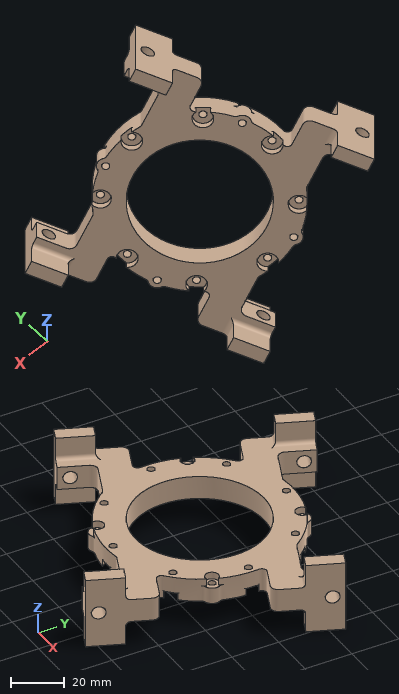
import cadquery as cq
import math

overall_length = 129.7
overall_height = 30.0
tilt = -22.5

plate_thickness = 10.0
ring_radius = 40.1
bore_radius = 27.4

lug_end_y = 48.8
lug_length = 15.0
lug_width = 10.6
arm_width = 13.0
wall_thickness = 6.0
wall_fillet = 2.0
corner_radius = 3.0
ring_blend = 2.0

cross_hole_diameter = 5.5
cross_hole_from_end = 4.9

ring_hole_count = 8
ring_hole_circle = 37.0
ring_hole_diameter = 3.0
ring_bore_diameter = 8.0
counterbore_depth = 3.0

boss_count = 4
boss_circle = 38.4
boss_radius = 3.5
boss_bore_diameter = 5.5
boss_hole_diameter = 3.0

tilt_angle = math.radians(abs(tilt))
lug_outer_x = (overall_length / 2 - lug_end_y * math.sin(tilt_angle)) / math.cos(tilt_angle)
lug_inner_x = lug_outer_x - lug_width
arm_outer_y = lug_end_y - lug_length
arm_inner_y = arm_outer_y - arm_width
plate_top = plate_thickness / 2
boss_top = plate_top - counterbore_depth


def plate(shape):
    """Extrude a mid-plane outline to the plate thickness, centred on that plane."""
    return shape.extrude(plate_thickness).translate((0, 0, -plate_top))


def box_between(x_min, x_max, y_min, y_max, height):
    """Box centred on the mid plane between two X and two Y places."""
    box = cq.Workplane("XY").box(x_max - x_min, y_max - y_min, height)
    return box.translate(((x_min + x_max) / 2, (y_min + y_max) / 2, 0))


def spaced_around(count, radius):
    """Points spaced evenly round the Z axis, starting on +X."""
    angles = [2 * math.pi * i / count for i in range(count)]
    return [(radius * math.cos(a), radius * math.sin(a)) for a in angles]


def upright_edges_at(x, y):
    """Selector for the vertical edge standing within a small gap of (x, y)."""
    gap = 0.3
    low_corner = (x - gap, y - gap, -plate_thickness)
    high_corner = (x + gap, y + gap, plate_thickness)
    return cq.selectors.BoxSelector(low_corner, high_corner)


def four_corners(x, y):
    """The point (x, y) and its mirror images across both axes."""
    return [(sx * x, sy * y) for sx in (-1, 1) for sy in (-1, 1)]


def make_ring():
    """Solid disc with rounded bosses blended into its edge, level with their counterbore floors."""
    bosses = cq.Workplane("XY").workplane(offset=-plate_top)
    bosses = bosses.pushPoints(spaced_around(boss_count, boss_circle)).circle(boss_radius)
    bosses = bosses.extrude(plate_top + boss_top)
    ring = plate(cq.Workplane("XY").circle(ring_radius)).union(bosses)

    joint_cosine = (ring_radius**2 + boss_circle**2 - boss_radius**2) / (2 * ring_radius * boss_circle)
    joint_angle = math.acos(joint_cosine)
    for i in range(boss_count):
        for side in (-1, 1):
            angle = 2 * math.pi * i / boss_count + side * joint_angle
            joint = upright_edges_at(ring_radius * math.cos(angle), ring_radius * math.sin(angle))
            ring = ring.edges(joint).fillet(ring_blend)
    return ring


def make_plate():
    """Ring joined to two crossbars with a lug at each end."""
    body = make_ring()
    for side in (-1, 1):
        bar_y = side * (arm_inner_y + arm_width / 2)
        bar = plate(cq.Workplane("XY").center(0, bar_y).rect(2 * lug_outer_x, arm_width))
        body = body.union(bar)
    for x, y in four_corners(lug_outer_x - lug_width / 2, lug_end_y - lug_length / 2):
        body = body.union(plate(cq.Workplane("XY").center(x, y).rect(lug_width, lug_length)))

    outer_joint_x = math.sqrt(ring_radius**2 - arm_outer_y**2)
    inner_joint_x = math.sqrt(ring_radius**2 - arm_inner_y**2)
    blends = [
        (lug_outer_x, arm_inner_y, corner_radius),
        (lug_inner_x, arm_outer_y, corner_radius),
        (outer_joint_x, arm_outer_y, ring_blend),
        (inner_joint_x, arm_inner_y, ring_blend),
    ]
    for joint_x, joint_y, radius in blends:
        for x, y in four_corners(joint_x, joint_y):
            body = body.edges(upright_edges_at(x, y)).fillet(radius)
    return body


def make_wall():
    """Upright wall of the +X +Y lug, flared where it meets the plate faces."""
    inner_x = lug_outer_x - wall_thickness
    wall = box_between(inner_x, lug_outer_x, arm_outer_y, lug_end_y, overall_height)
    foot_height = plate_thickness + 2 * wall_fillet
    foot = box_between(inner_x - wall_fillet, lug_outer_x, arm_outer_y - wall_fillet, lug_end_y, foot_height)
    for side in (-1, 1):
        z = side * foot_height / 2
        along_y = cq.Workplane("XZ").center(inner_x - wall_fillet, z).circle(wall_fillet)
        along_y = along_y.extrude(-overall_length)
        along_x = cq.Workplane("YZ").center(arm_outer_y - wall_fillet, z).circle(wall_fillet)
        along_x = along_x.extrude(overall_length)
        foot = foot.cut(along_y).cut(along_x)
    return wall.union(foot)


def cross_hole_cutter():
    """Cylinders along X, one through each lug."""
    cutter = cq.Workplane("XY")
    for x, y in four_corners(lug_outer_x - lug_width / 2, lug_end_y - cross_hole_from_end):
        hole = cq.Workplane("YZ").circle(cross_hole_diameter / 2).extrude(lug_width)
        cutter = cutter.add(hole.translate((x - lug_width / 2, y, 0)))
    return cutter.combine()


def ring_cutter():
    """Central bore, the ring holes and the boss holes, with their counterbores."""
    cutter = plate(cq.Workplane("XY").circle(bore_radius))

    ring_points = spaced_around(ring_hole_count, ring_hole_circle)
    boss_points = spaced_around(boss_count, boss_circle)
    ring_holes = plate(cq.Workplane("XY").pushPoints(ring_points).circle(ring_hole_diameter / 2))
    ring_bores = cq.Workplane("XY").workplane(offset=-plate_top).pushPoints(ring_points)
    ring_bores = ring_bores.circle(ring_bore_diameter / 2).extrude(counterbore_depth)
    cutter = cutter.union(ring_holes.union(ring_bores).rotate((0, 0, 0), (0, 0, 1), -tilt))

    boss_holes = plate(cq.Workplane("XY").pushPoints(boss_points).circle(boss_hole_diameter / 2))
    boss_bores = cq.Workplane("XY").workplane(offset=boss_top).pushPoints(boss_points)
    boss_bores = boss_bores.circle(boss_bore_diameter / 2).extrude(counterbore_depth)
    return cutter.union(boss_holes.union(boss_bores))


frame = make_plate()
wall = make_wall()
mirrored_wall = wall.mirror("YZ")
for one_wall in (wall, mirrored_wall):
    frame = frame.union(one_wall).union(one_wall.mirror("XZ"))
frame = frame.cut(ring_cutter()).cut(cross_hole_cutter()).clean()
result = frame.rotate((0, 0, 0), (0, 0, 1), tilt)